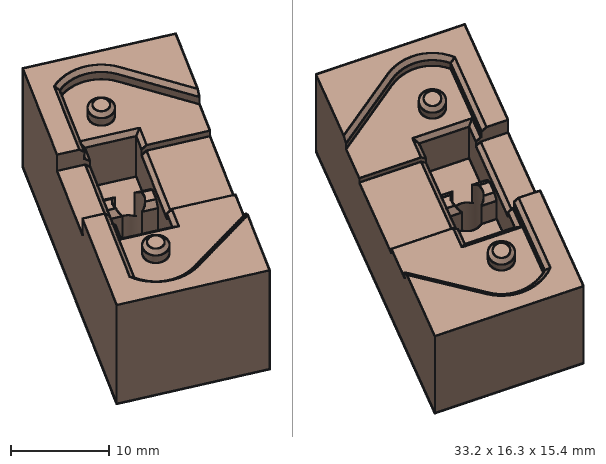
import cadquery as cq
import math

LENGTH, WIDTH, HEIGHT = 33.23, 16.25, 15.4
CENTER_Y = 6.25
EDGE_CHAMFER = 0.53

RECESS_DEPTH = 1.65
RECESS_FRONT_Y = 2.9
RECESS_RADIUS = 4.85
SIDE_TILT = 37.0

PIN_X = 9.65
PIN_DIAMETER = 2.8
PIN_HEIGHT = 1.65
PIN_CHAMFER = 0.5

CHANNEL_WIDTH = 8.97
CHANNEL_DEPTH = 2.53

POCKET_LENGTH = 12.75
POCKET_WIDTH = 5.45
POCKET_DEPTH = 8.47
RIDGE_WIDTH = 2.65
RIDGE_TOP_DEPTH = 4.2
RIDGE_CHAMFER = 0.65
HOLE_DIAMETER = 3.4

RECESS_FLOOR = HEIGHT - RECESS_DEPTH
CHANNEL_FLOOR = HEIGHT - CHANNEL_DEPTH
POCKET_FLOOR = HEIGHT - POCKET_DEPTH


def box_on(length, width, height, y, z):
    """Box centred on X = 0 and the given Y, standing on the given Z."""
    return cq.Workplane("XY", origin=(0, y, z)).box(length, width, height, centered=(True, True, False))


def recess_wire(offset, z):
    """Recess outline grown outward by offset, at height z."""
    radius = RECESS_RADIUS + offset
    front_y = RECESS_FRONT_Y - offset
    back_y = WIDTH + EDGE_CHAMFER
    tilt = math.radians(SIDE_TILT)
    front_x = PIN_X + math.sqrt(radius**2 - (CENTER_Y - front_y) ** 2)
    tangent_x = PIN_X + radius * math.cos(tilt)
    tangent_y = CENTER_Y + radius * math.sin(tilt)
    back_x = tangent_x - (back_y - tangent_y) * math.tan(tilt)
    return (
        cq.Workplane("XY", origin=(0, 0, z))
        .moveTo(-front_x, front_y)
        .lineTo(front_x, front_y)
        .threePointArc((PIN_X + radius, CENTER_Y), (tangent_x, tangent_y))
        .lineTo(back_x, back_y)
        .lineTo(-back_x, back_y)
        .lineTo(-tangent_x, tangent_y)
        .threePointArc((-PIN_X - radius, CENTER_Y), (-front_x, front_y))
        .close()
        .val()
    )


def recess():
    """Straight-walled recess with a flared rim."""
    walls = cq.Workplane(recess_wire(0, RECESS_FLOOR)).toPending().extrude(RECESS_DEPTH)
    rim = cq.Solid.makeLoft(
        [recess_wire(0, HEIGHT - EDGE_CHAMFER), recess_wire(EDGE_CHAMFER, HEIGHT)], True
    )
    return walls.union(cq.Workplane(rim))


def pocket_rim(top_z):
    """Flare of the pocket mouth where it meets a floor at top_z."""
    return (
        cq.Workplane("XY", origin=(0, CENTER_Y, top_z - EDGE_CHAMFER))
        .rect(POCKET_LENGTH, POCKET_WIDTH)
        .workplane(offset=EDGE_CHAMFER)
        .rect(POCKET_LENGTH + 2 * EDGE_CHAMFER, POCKET_WIDTH + 2 * EDGE_CHAMFER)
        .loft(ruled=True)
    )


def pins():
    return (
        cq.Workplane("XY", origin=(0, CENTER_Y, RECESS_FLOOR))
        .pushPoints([(-PIN_X, 0), (PIN_X, 0)])
        .circle(PIN_DIAMETER / 2)
        .extrude(PIN_HEIGHT)
        .faces(">Z")
        .chamfer(PIN_CHAMFER)
    )


def ridge():
    height = POCKET_DEPTH - RIDGE_TOP_DEPTH
    bar = box_on(RIDGE_WIDTH, POCKET_WIDTH, height, CENTER_Y, POCKET_FLOOR)
    return bar.faces(">Z").edges("|Y").chamfer(RIDGE_CHAMFER)


channel = box_on(CHANNEL_WIDTH, WIDTH, CHANNEL_DEPTH, WIDTH / 2, CHANNEL_FLOOR)
channel_column = box_on(CHANNEL_WIDTH, WIDTH, HEIGHT, WIDTH / 2, 0)
pocket = box_on(POCKET_LENGTH, POCKET_WIDTH, RECESS_FLOOR - POCKET_FLOOR, CENTER_Y, POCKET_FLOOR)
hole = cq.Workplane("XY", origin=(0, CENTER_Y, 0)).circle(HOLE_DIAMETER / 2).extrude(HEIGHT)

result = (
    box_on(LENGTH, WIDTH, HEIGHT, WIDTH / 2, 0)
    .cut(recess())
    .cut(channel)
    .cut(pocket)
    .cut(pocket_rim(RECESS_FLOOR))
    .cut(pocket_rim(CHANNEL_FLOOR).intersect(channel_column))
    .union(pins())
    .union(ridge())
    .cut(hole)
)